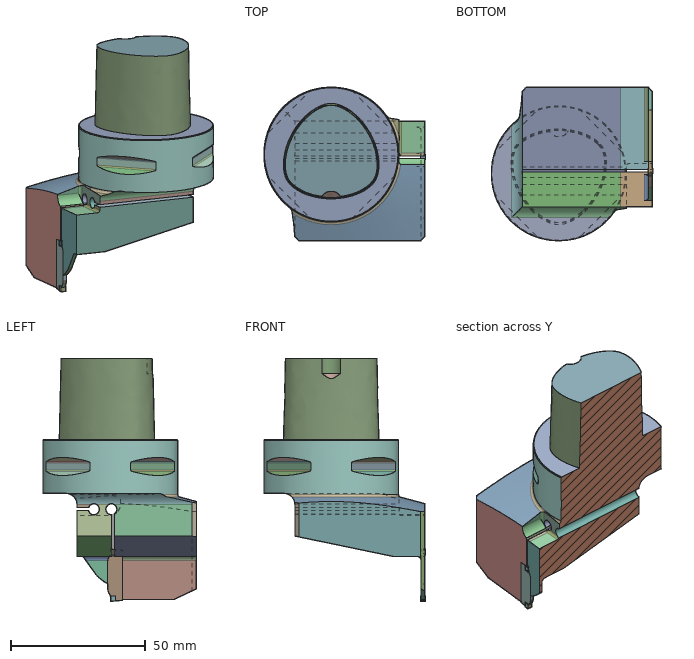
import cadquery as cq
import math


shank_height = 30.0
shank_base_radius = 17.7
shank_top_radius = 17.0
lobe_height = 1.25

notch_radius = 4.0
notch_axis_y = -17.6
notch_depth = 5.5
notch_cone_depth = 3.4

flange_radius = 25.0
flange_height = 20.0
flange_chamfer = 0.3
gripper_z = -10.0
gripper_floor_distance = 22.2
gripper_floor_width = 3.35
gripper_mouth_width = 6.7
gripper_floor_radius = 0.6
slot_overrun = 2.0

head_left = -13.5
head_right = 34.65
head_front = -32.0
head_back = 12.4
head_flare = 4.0
head_chamfer_x = 1.5
head_chamfer_y = 1.65
cone_start_radius = 26.0
cone_start_z = -21.35
cone_neck_radius = 1.0
cone_angle = 15.0
cone_outer_radius = 50.0
left_bottom_z = -35.8
taper_end_x = 22.9
head_bottom_z = -43.35

blade_left = 33.25
blade_bottom_z = -59.35
blade_fillet = 1.5
blade_slope_end = (5.3, -50.1)
blade_slope_start_y = 10.1
blade_curve_mid = (3.0, -52.2)
blade_curve_end = (0.95, -53.5)
blade_front_z = -55.3
blade_bottom_front_y = -23.5

pocket_left = 25.1
pocket_front = -3.7
pocket_floor_z = -28.25
pocket_wall_radius = 1.0
pocket_front_radius = 4.2

relief_radius = 2.0
relief_z = -25.85
back_relief_y = 6.1
front_relief_y = -0.4
jaw_slot_height = 1.0
jaw_slot_z = -25.75
jaw_slit_back = -0.6
jaw_slit_front = -1.45

insert_bottom_z = -60.0
insert_mid_z = -50.3
insert_front = -4.45
insert_back = 0.95
insert_relief = 0.35
insert_edge_y = -0.15
rake_start_z = -55.6
rake_mid = (0.8, -56.4)
rake_end = (0.45, -57.1)
edge_land_z = -58.3
cutting_left = 33.0
cutting_right = 35.0
cutting_side_y = -1.9
cutting_side_z = -57.9

margin = 10.0


def lobed_outline(radius, z):
    """Closed three-lobed curve whose width is the same in every direction."""

    def point(angle):
        reach = radius + lobe_height * math.cos(3 * angle)
        turn = -3 * lobe_height * math.sin(3 * angle)
        across = reach * math.sin(angle) + turn * math.cos(angle)
        toward_lobe = reach * math.cos(angle) - turn * math.sin(angle)
        return cq.Vector(across, toward_lobe, z)

    count = 48
    points = [point(2 * math.pi * i / count) for i in range(count)]
    return cq.Wire.assembleEdges([cq.Edge.makeSpline(points, periodic=True)])


def build_shank():
    base = lobed_outline(shank_base_radius, 0)
    top = lobed_outline(shank_top_radius, shank_height)
    shank = cq.Workplane(cq.Solid.makeLoft([base, top]))
    notch = (
        cq.Workplane("XZ")
        .moveTo(0, shank_height)
        .lineTo(notch_radius, shank_height)
        .lineTo(notch_radius, shank_height - notch_depth)
        .lineTo(0, shank_height - notch_depth - notch_cone_depth)
        .close()
        .revolve(360, (0, 0), (0, 1))
        .translate((0, notch_axis_y, 0))
    )
    return shank.cut(notch)


def build_flange():
    flange = cq.Workplane("XY").circle(flange_radius).extrude(-flange_height)
    flange = flange.faces(">Z").edges().chamfer(flange_chamfer)
    depth = flange_radius - gripper_floor_distance
    widening = (gripper_mouth_width - gripper_floor_width) / 2 / depth
    outer = flange_radius + slot_overrun
    half_floor = gripper_floor_width / 2
    half_outer = half_floor + widening * (outer - gripper_floor_distance)
    slot = (
        cq.Workplane("XZ")
        .moveTo(gripper_floor_distance, gripper_z - half_floor)
        .lineTo(gripper_floor_distance, gripper_z + half_floor)
        .lineTo(outer, gripper_z + half_outer)
        .lineTo(outer, gripper_z - half_outer)
        .close()
        .extrude(flange_radius, both=True)
        .faces("<X")
        .edges("|Y")
        .fillet(gripper_floor_radius)
    )
    for quarter in range(4):
        flange = flange.cut(slot.rotate((0, 0, 0), (0, 0, 1), 45 + 90 * quarter))
    return flange


def arc_middle(center_x, center_y, radius, direction):
    """Middle point of a quarter arc, in a diagonal direction given in degrees."""
    angle = math.radians(direction)
    return center_x + radius * math.cos(angle), center_y + radius * math.sin(angle)


def head_front_body():
    """Outline seen along Y: flared left side, tapered bottom and the blade."""
    flare_left = head_left - head_flare
    flare_bottom = -flange_height - head_flare
    fillet_x = blade_left - blade_fillet
    fillet_z = head_bottom_z - blade_fillet
    return (
        cq.Workplane("XZ")
        .moveTo(flare_left, -flange_height)
        .threePointArc(arc_middle(flare_left, flare_bottom, head_flare, 45), (head_left, flare_bottom))
        .lineTo(head_left, left_bottom_z)
        .lineTo(taper_end_x, head_bottom_z)
        .lineTo(fillet_x, head_bottom_z)
        .threePointArc(arc_middle(fillet_x, fillet_z, blade_fillet, 45), (blade_left, fillet_z))
        .lineTo(blade_left, blade_bottom_z)
        .lineTo(head_right, blade_bottom_z)
        .lineTo(head_right, -flange_height)
        .close()
        .extrude(margin - head_front, both=True)
    )


def head_side_body():
    """Outline seen along X: flared back side and the contour of the blade."""
    flare_back = head_back + head_flare
    flare_bottom = -flange_height - head_flare
    return (
        cq.Workplane("YZ")
        .moveTo(flare_back, -flange_height)
        .threePointArc(arc_middle(flare_back, flare_bottom, head_flare, 135), (head_back, flare_bottom))
        .lineTo(head_back, head_bottom_z)
        .lineTo(blade_slope_start_y, head_bottom_z)
        .lineTo(*blade_slope_end)
        .threePointArc(blade_curve_mid, blade_curve_end)
        .lineTo(insert_front, blade_curve_end[1])
        .lineTo(insert_front, blade_bottom_z)
        .lineTo(blade_bottom_front_y, blade_bottom_z)
        .lineTo(head_front, blade_front_z)
        .lineTo(head_front, -flange_height)
        .close()
        .extrude(head_right + margin, both=True)
    )


def head_plan_body():
    """Outline from above, with both front corners chamfered."""
    far_left = head_left - margin
    far_back = head_back + margin
    return (
        cq.Workplane("XY")
        .moveTo(head_right, far_back)
        .lineTo(head_right, head_front + head_chamfer_y)
        .lineTo(head_right - head_chamfer_x, head_front)
        .lineTo(head_left + head_chamfer_x, head_front)
        .lineTo(head_left, head_front + head_chamfer_y)
        .lineTo(far_left, head_front + head_chamfer_y)
        .lineTo(far_left, far_back)
        .close()
        .extrude(insert_bottom_z)
    )


def head_cone_body():
    """Conical top of the head with a small hollow neck under the flange."""
    slope = math.tan(math.radians(cone_angle))
    outer_z = cone_start_z - slope * (cone_outer_radius - cone_start_radius)
    neck_mid = arc_middle(cone_start_radius, cone_start_z + cone_neck_radius, cone_neck_radius, 225)
    return (
        cq.Workplane("XZ")
        .moveTo(0, -flange_height)
        .lineTo(flange_radius, -flange_height)
        .lineTo(flange_radius, cone_start_z + cone_neck_radius)
        .threePointArc(neck_mid, (cone_start_radius, cone_start_z))
        .lineTo(cone_outer_radius, outer_z)
        .lineTo(cone_outer_radius, insert_bottom_z)
        .lineTo(0, insert_bottom_z)
        .close()
        .revolve(360, (0, 0), (0, 1))
    )


def corner_pocket():
    """Pocket open to +X, +Y and above, with rounded floor and wall corners."""
    right = head_right + margin
    back = head_back + margin
    wall_x = pocket_left + pocket_wall_radius
    wall_z = pocket_floor_z + pocket_wall_radius
    along_x = (
        cq.Workplane("XZ")
        .moveTo(right, 0)
        .lineTo(pocket_left, 0)
        .lineTo(pocket_left, wall_z)
        .threePointArc(arc_middle(wall_x, wall_z, pocket_wall_radius, 225), (wall_x, pocket_floor_z))
        .lineTo(right, pocket_floor_z)
        .close()
        .extrude(back, both=True)
    )
    front_y = pocket_front + pocket_front_radius
    front_z = pocket_floor_z + pocket_front_radius
    along_y = (
        cq.Workplane("YZ")
        .moveTo(back, 0)
        .lineTo(pocket_front, 0)
        .lineTo(pocket_front, front_z)
        .threePointArc(arc_middle(front_y, front_z, pocket_front_radius, 225), (front_y, pocket_floor_z))
        .lineTo(back, pocket_floor_z)
        .close()
        .extrude(right)
    )
    plan = (
        cq.Workplane("XY")
        .box(right - pocket_left, back - pocket_front, -insert_bottom_z, centered=False)
        .translate((pocket_left, pocket_front, insert_bottom_z))
        .edges("|Z and <X and <Y")
        .fillet(pocket_wall_radius)
    )
    return along_x.intersect(along_y).intersect(plan)


def jaw_cuts():
    """Two relief holes along X, each opened by a saw cut."""
    reach = head_right + margin
    holes = (
        cq.Workplane("YZ")
        .pushPoints([(back_relief_y, relief_z), (front_relief_y, relief_z)])
        .circle(relief_radius)
        .extrude(reach, both=True)
    )
    slot_length = head_back + margin - back_relief_y
    slot = (
        cq.Workplane("YZ")
        .center(back_relief_y + slot_length / 2, jaw_slot_z)
        .rect(slot_length, jaw_slot_height)
        .extrude(reach, both=True)
    )
    slit_height = relief_z - head_bottom_z
    slit = (
        cq.Workplane("YZ")
        .center((jaw_slit_back + jaw_slit_front) / 2, relief_z - slit_height / 2)
        .rect(jaw_slit_back - jaw_slit_front, slit_height)
        .extrude(reach, both=True)
    )
    return holes.union(slot).union(slit)


def insert_slab(left, right):
    """Insert contour seen along X, filled between two X positions."""

    def upper(point):
        return point[0], 2 * insert_mid_z - point[1]

    rake_start = (insert_back, rake_start_z)
    land = (insert_edge_y, edge_land_z)
    edge = (insert_edge_y, insert_bottom_z)
    heel = (insert_front, insert_bottom_z + insert_relief)
    return (
        cq.Workplane("YZ", origin=(left, 0, 0))
        .moveTo(*rake_start)
        .threePointArc(rake_mid, rake_end)
        .lineTo(*land)
        .lineTo(*edge)
        .lineTo(*heel)
        .lineTo(*upper(heel))
        .lineTo(*upper(edge))
        .lineTo(*upper(land))
        .lineTo(*upper(rake_end))
        .threePointArc(upper(rake_mid), upper(rake_start))
        .close()
        .extrude(right - left)
    )


def build_insert():
    body = insert_slab(blade_left, head_right)
    wide = insert_slab(cutting_left, cutting_right)
    end_height = cutting_side_z - insert_bottom_z
    bottom_end = (
        cq.Workplane("XY")
        .box(margin, margin, end_height, centered=(True, False, False))
        .translate((head_right, cutting_side_y, insert_bottom_z))
    )
    top_end = bottom_end.mirror("XY", (0, 0, insert_mid_z))
    return body.union(wide.intersect(bottom_end)).union(wide.intersect(top_end))


def build_holder(insert):
    head = head_front_body().intersect(head_side_body())
    head = head.intersect(head_plan_body()).intersect(head_cone_body())
    head = head.cut(corner_pocket()).cut(jaw_cuts())

    below_head = (
        cq.Workplane("XY", origin=(0, 0, head_bottom_z))
        .rect(2 * cone_outer_radius, 2 * cone_outer_radius)
        .extrude(insert_bottom_z - head_bottom_z)
    )
    fillet_gap = insert_slab(blade_left - 2 * blade_fillet, blade_left).intersect(below_head)
    head = head.cut(fillet_gap).cut(insert)
    return build_shank().union(build_flange()).union(head)


insert = build_insert()
holder = build_holder(insert)

result = cq.Compound.makeCompound([*holder.solids().vals(), *insert.solids().vals()])